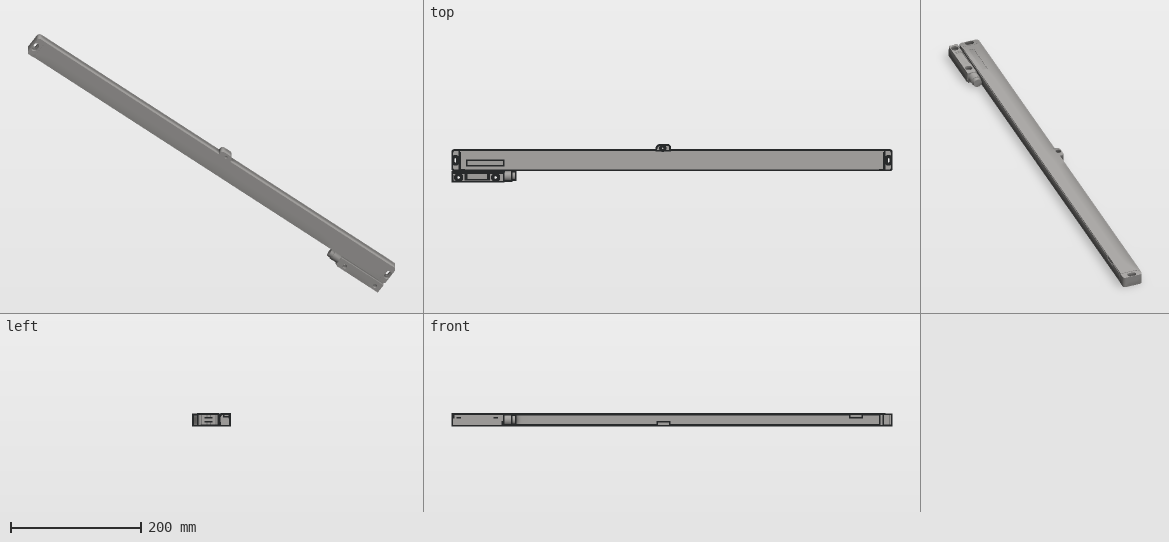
import cadquery as cq

LENGTH = 675.0
HEIGHT = 18.0
MID_Z = HEIGHT / 2
MID_X = LENGTH / 2

BAR_WIDTH = 32.0
CAP_LENGTH = 11.0
CAP_BACK_RADIUS = 5.0
CAP_FRONT_RADIUS = 4.0

CAP_DROP = 0.35
TAB_THICKNESS = 6.0
SLOT_INSET = 5.05
SLOT_CENTER_Y = 15.5
SLOT_LENGTH = 9.5
SLOT_WIDTH = 5.0
SLOT_SINK_LENGTH = 14.0
SLOT_SINK_WIDTH = 9.0

SEAM_WIDTH = 2.0
SEAM_DEPTH = 1.0
SEAM_BACK_GAP = 5.0

FRAME_INSET = 13.5
FRAME_END_WIDTH = 5.5
FRAME_EDGE_WIDTH = 1.7
FRAME_DEPTH = 1.0
NOTCH_LENGTH = 19.0
NOTCH_HEIGHT = 6.0
LOWER_NOTCH_X = 315.0
UPPER_NOTCH_X = 610.0

LABEL_LENGTH = 57.0
LABEL_WIDTH = 8.0
LABEL_X = 22.0
LABEL_Y = 7.5
LABEL_DEPTH = 1.0

LUG_X = 313.0
LUG_WIDTH = 21.5
LUG_DEPTH = 9.5
LUG_SEAT = 1.75
LUG_LEFT_RADIUS = 7.0
LUG_RIGHT_RADIUS = 5.0
LUG_DROP = 1.0
LUG_HOLE_X = 323.0
LUG_HOLE_OFFSET = 2.35
LUG_HOLE_RADIUS = 2.35
LUG_BORE_RADIUS = 4.4
LUG_BORE_DEPTH = 6.0

HEAD_LENGTH = 79.5
HEAD_GAP = 2.0
HEAD_FRONT_Y = -17.5
HEAD_CHAMFER = 2.0
HEAD_HOLES_X = (10.0, 67.0)
HEAD_HOLE_Y = -11.0
HEAD_HOLE_RADIUS = 3.5
HEAD_BORE_RADIUS = 5.75
HEAD_BORE_DEPTH = 6.0

PANEL_X = 20.0
PANEL_LENGTH = 36.5
PANEL_FRONT_Y = -14.0
PANEL_BACK_Y = -4.0
PANEL_DEPTH = 1.5
PANEL_STEP_LENGTH = 2.0
PANEL_STEP_DEPTH = 1.0

CORNER_MARK_WIDTH = 3.0
CORNER_MARK_HEIGHT = 6.0
SIDE_MARK_WIDTH = 9.5
SIDE_MARK_HEIGHT = 5.0
MARK_DEPTH = 1.0

GLAND_Y = -8.0
COLLAR_RADIUS = 8.0
COLLAR_LENGTH = 12.0
STUB_RADIUS = 7.0
STUB_LENGTH = 6.0


def block(x, y, z, dx, dy, dz):
    """Box with its lowest corner at (x, y, z)."""
    return cq.Workplane("XY").box(dx, dy, dz, centered=False).translate((x, y, z))


def upright_cylinder(x, y, z, radius, height):
    """Vertical cylinder standing on the level z."""
    return cq.Workplane("XY").center(x, y).circle(radius).extrude(height).translate((0, 0, z))


def both_ends(left_cutter):
    """A cutter for the left end together with its mirror image at the right end."""
    return left_cutter.union(left_cutter.mirror("YZ", (MID_X, 0, 0)))


def top_and_bottom(top_cutter):
    """A cutter for the top together with its mirror image at the bottom."""
    return top_cutter.union(top_cutter.mirror("XY", (0, 0, MID_Z)))


def bar_blank():
    bar = block(0, 0, 0, LENGTH, BAR_WIDTH, HEIGHT)
    bar = bar.edges("|Z and >Y").fillet(CAP_BACK_RADIUS)
    return bar.edges("|Z and <Y").fillet(CAP_FRONT_RADIUS)


def upright_slot(z, length, width, height):
    """Round-ended cutter, long in Y, on the slot axis of the left cap."""
    slot = cq.Workplane("XY").center(SLOT_INSET, SLOT_CENTER_Y).slot2D(length, width, 90).extrude(height)
    return slot.translate((0, 0, z))


def cap_cutters():
    """Lowered cap faces, sunk mounting slots and seam grooves at both ends."""
    lowering = block(0, 0, HEIGHT - CAP_DROP, CAP_LENGTH, BAR_WIDTH, CAP_DROP)
    seam = block(CAP_LENGTH, 0, HEIGHT - SEAM_DEPTH, SEAM_WIDTH, BAR_WIDTH - SEAM_BACK_GAP, SEAM_DEPTH)
    sink_depth = (HEIGHT - TAB_THICKNESS) / 2
    sink = upright_slot(HEIGHT - sink_depth, SLOT_SINK_LENGTH, SLOT_SINK_WIDTH, sink_depth)
    slot = upright_slot(0, SLOT_LENGTH, SLOT_WIDTH, HEIGHT)
    return both_ends(top_and_bottom(lowering.union(seam).union(sink)).union(slot))


def front_frame():
    """Cutter for the recessed frame of the front face and its two notches."""
    frame_length = LENGTH - 2 * FRAME_INSET
    edge = block(FRAME_INSET, 0, HEIGHT - FRAME_EDGE_WIDTH, frame_length, FRAME_DEPTH, FRAME_EDGE_WIDTH)
    end = block(FRAME_INSET, 0, 0, FRAME_END_WIDTH, FRAME_DEPTH, HEIGHT)
    upper_notch = block(UPPER_NOTCH_X, 0, HEIGHT - NOTCH_HEIGHT, NOTCH_LENGTH, FRAME_DEPTH, NOTCH_HEIGHT)
    lower_notch = block(LOWER_NOTCH_X, 0, 0, NOTCH_LENGTH, FRAME_DEPTH, NOTCH_HEIGHT)
    return top_and_bottom(edge).union(both_ends(end)).union(upper_notch).union(lower_notch)


def add_lug(bar):
    """Rounded lug seated slightly into the back of the bar, with a counterbored hole."""
    seat_y = BAR_WIDTH - LUG_SEAT
    top_z = HEIGHT - LUG_DROP
    lug = block(LUG_X, seat_y, 0, LUG_WIDTH, LUG_DEPTH, top_z)
    lug = lug.faces("<X").edges("|Z and >Y").fillet(LUG_LEFT_RADIUS)
    lug = lug.faces(">X").edges("|Z and >Y").fillet(LUG_RIGHT_RADIUS)
    seat = block(LUG_X, seat_y, top_z, LUG_WIDTH, LUG_SEAT, LUG_DROP)
    hole_y = BAR_WIDTH + LUG_HOLE_OFFSET
    bore = upright_cylinder(LUG_HOLE_X, hole_y, HEIGHT - LUG_BORE_DEPTH, LUG_BORE_RADIUS, LUG_BORE_DEPTH)
    hole = upright_cylinder(LUG_HOLE_X, hole_y, 0, LUG_HOLE_RADIUS, HEIGHT)
    return bar.cut(seat).union(lug).cut(bore).cut(hole)


def make_scale_housing():
    label = block(LABEL_X, LABEL_Y, HEIGHT - LABEL_DEPTH, LABEL_LENGTH, LABEL_WIDTH, LABEL_DEPTH)
    bar = bar_blank().cut(cap_cutters()).cut(front_frame()).cut(label)
    return add_lug(bar)


def head_hole(x):
    """Cutter for one counterbored mounting hole through the head."""
    hole = upright_cylinder(x, HEAD_HOLE_Y, 0, HEAD_HOLE_RADIUS, HEIGHT)
    bore = upright_cylinder(x, HEAD_HOLE_Y, HEIGHT - HEAD_BORE_DEPTH, HEAD_BORE_RADIUS, HEAD_BORE_DEPTH)
    return hole.union(bore)


def head_panel():
    """Cutter for the stepped recess between the two holes."""
    panel_width = PANEL_BACK_Y - PANEL_FRONT_Y
    steps_z = HEIGHT - PANEL_STEP_DEPTH
    steps = block(PANEL_X, PANEL_FRONT_Y, steps_z, PANEL_LENGTH, panel_width, PANEL_STEP_DEPTH)
    middle_x = PANEL_X + PANEL_STEP_LENGTH
    middle_length = PANEL_LENGTH - 2 * PANEL_STEP_LENGTH
    middle = block(middle_x, PANEL_FRONT_Y, HEIGHT - PANEL_DEPTH, middle_length, panel_width, PANEL_DEPTH)
    return steps.union(middle)


def corner_mark(x, z):
    """Shallow recess in one corner of the front face, starting at its lower left (x, z)."""
    return block(x, HEAD_FRONT_Y, z, CORNER_MARK_WIDTH, MARK_DEPTH, CORNER_MARK_HEIGHT)


def side_mark():
    """Shallow recess in the top front corner of the head's end face."""
    return block(0, HEAD_FRONT_Y, HEIGHT - SIDE_MARK_HEIGHT, MARK_DEPTH, SIDE_MARK_WIDTH, SIDE_MARK_HEIGHT)


def gland():
    collar = cq.Workplane("YZ").center(GLAND_Y, MID_Z).circle(COLLAR_RADIUS).extrude(COLLAR_LENGTH)
    stub = collar.faces(">X").workplane().circle(STUB_RADIUS).extrude(STUB_LENGTH)
    return stub.translate((HEAD_LENGTH, 0, 0))


def make_reading_head():
    head = block(0, HEAD_FRONT_Y, 0, HEAD_LENGTH, -HEAD_GAP - HEAD_FRONT_Y, HEIGHT)
    head = head.edges(">Y and >Z").chamfer(HEAD_CHAMFER)
    for x in HEAD_HOLES_X:
        head = head.cut(head_hole(x))
    head = head.cut(head_panel()).cut(side_mark())
    head = head.cut(corner_mark(0, HEIGHT - CORNER_MARK_HEIGHT))
    head = head.cut(corner_mark(HEAD_LENGTH - CORNER_MARK_WIDTH, 0))
    return head.union(gland())


scale_housing = make_scale_housing()
reading_head = make_reading_head()

result = cq.Compound.makeCompound([scale_housing.val(), reading_head.val()])